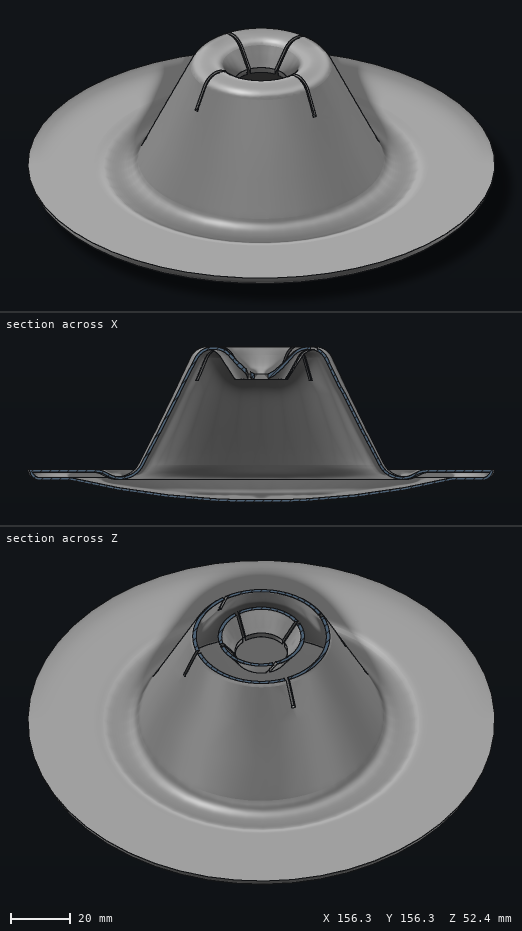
import math

import cadquery as cq

wall = 1.0
brim_radius = 78.145
brim_thickness = 3.65
crown_height = 41.1
bowl_depth = 11.28
bowl_rim_radius = 64.5

crown_ring_radius = 18.1
crown_round = 6.25
cone_angle = 26.0
funnel_angle = 33.0
funnel_hole_radius = 8.8

groove_depth = 2.4
groove_round = 7.6
groove_wall_angle = 28.0
shoulder_round = 6.5

slot_width = 1.2
slot_floor_height = 29.8
slots = [(58.5, 2.0), (-35.6, 1.45)]


def polar(centre, radius, angle):
    """Point at the given angle (degrees) on a circle in the (r, z) half plane."""
    turn = math.radians(angle)
    return (centre[0] + radius * math.cos(turn), centre[1] + radius * math.sin(turn))


def section_centres():
    """Arc centres of crown, groove and shoulder, placed so that cone and wall are tangent."""
    cone = math.radians(cone_angle)
    slope = math.radians(groove_wall_angle)
    crown_z = crown_height - crown_round
    groove_z = groove_round - groove_depth
    groove_r = (
        crown_ring_radius
        + (crown_z - groove_z) * math.tan(cone)
        + (crown_round + groove_round) / math.cos(cone)
    )
    wall_run = groove_round + shoulder_round - (groove_z + shoulder_round) * math.cos(slope)
    shoulder_r = groove_r + wall_run / math.sin(slope)
    return (crown_ring_radius, crown_z), (groove_r, groove_z), (shoulder_r, -shoulder_round)


def body_of_revolution(inset):
    """Closed body whose surface lies the given distance inside the part's outer surface."""
    crown, groove, shoulder = section_centres()
    crown_r = crown_round - inset
    groove_r = groove_round + inset
    shoulder_r = shoulder_round - inset
    edge_r = brim_thickness - inset
    edge = (brim_radius - brim_thickness, 0)
    edge_angle = -math.degrees(math.asin(inset / edge_r))

    bowl_sag = bowl_depth - brim_thickness
    bowl_outer_r = (bowl_rim_radius**2 + bowl_sag**2) / (2 * bowl_sag)
    bowl = (0, bowl_outer_r - bowl_depth)
    bowl_r = bowl_outer_r - inset
    ring_z = inset - brim_thickness
    rim_angle = -math.degrees(math.asin((bowl[1] - ring_z) / bowl_r))

    funnel_top = polar(crown, crown_r, 180 - funnel_angle)
    funnel_tip = (0, funnel_top[1] - funnel_top[0] / math.tan(math.radians(funnel_angle)))
    groove_mid_angle = (180 + cone_angle + 270 + groove_wall_angle) / 2

    profile = (
        cq.Workplane("XZ")
        .moveTo(*funnel_tip)
        .lineTo(*funnel_top)
        .threePointArc(polar(crown, crown_r, 90), polar(crown, crown_r, cone_angle))
        .lineTo(*polar(groove, groove_r, 180 + cone_angle))
        .threePointArc(
            polar(groove, groove_r, groove_mid_angle),
            polar(groove, groove_r, 270 + groove_wall_angle),
        )
        .lineTo(*polar(shoulder, shoulder_r, 90 + groove_wall_angle))
        .threePointArc(
            polar(shoulder, shoulder_r, 90 + groove_wall_angle / 2),
            polar(shoulder, shoulder_r, 90),
        )
        .lineTo(*polar(edge, edge_r, edge_angle))
        .threePointArc(polar(edge, edge_r, (edge_angle - 90) / 2), polar(edge, edge_r, -90))
        .lineTo(*polar(bowl, bowl_r, rim_angle))
        .threePointArc(polar(bowl, bowl_r, (rim_angle - 90) / 2), polar(bowl, bowl_r, -90))
        .close()
    )
    return profile.revolve(360, (0, 0, 0), (0, 1, 0))


def funnel_hole():
    """Cylinder that opens the funnel tip into the cavity, ending inside the cavity."""
    return cq.Workplane("XY").circle(funnel_hole_radius).extrude(crown_height)


def crown_slot(direction, offset):
    """Straight upright saw cut across the whole crown."""
    length = 2 * brim_radius
    return (
        cq.Workplane("XY")
        .workplane(offset=slot_floor_height)
        .center(0, offset)
        .rect(length, slot_width)
        .extrude(crown_height)
        .rotate((0, 0, 0), (0, 0, 1), direction)
    )


result = body_of_revolution(0).cut(body_of_revolution(wall)).cut(funnel_hole())
for slot_direction, slot_offset in slots:
    result = result.cut(crown_slot(slot_direction, slot_offset))